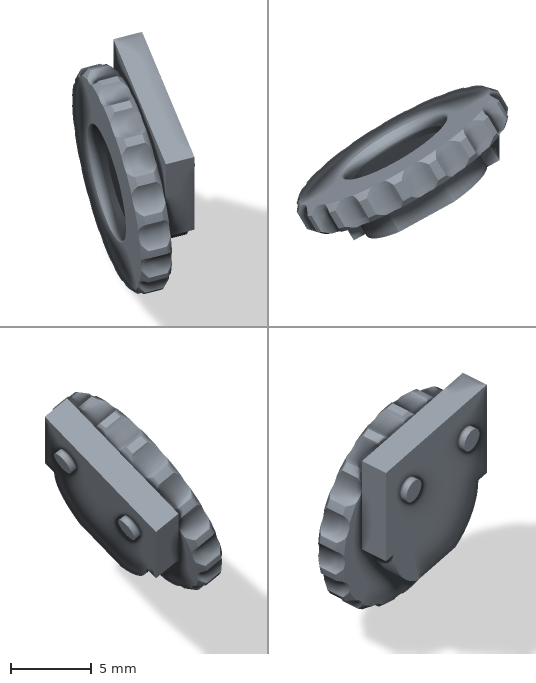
import cadquery as cq
import math

wheel_radius = 7.25
wheel_thickness = 2.0
wheel_chamfer = 0.4
groove_count = 18
groove_radius = 1.25
groove_axis_radius = 7.98

recess_mouth_diameter = 7.6
recess_floor_diameter = 6.4
recess_depth = 1.0
recess_cone_depth = (recess_mouth_diameter - recess_floor_diameter) / 2

neck_diameter = 7.6
neck_length = 0.15

plate_width = 10.35
plate_thickness = 1.85
plate_top = wheel_radius
plate_bottom = -3.84
lobe_radius = 4.3

pin_diameter = 1.55
pin_length = 0.5
pin_spacing = 5.96
pin_height = 4.5

neck_start = wheel_thickness
plate_start = neck_start + neck_length
pin_start = plate_start + plate_thickness


def workplane_at(y):
    """XZ plane at depth y facing -Y, so negative extrusions grow toward +Y."""
    return cq.Workplane(cq.Plane(origin=(0, y, 0), xDir=(1, 0, 0), normal=(0, -1, 0)))


def cylinder_along_y(diameter, length, start, centers=((0, 0),)):
    """Equal cylinders from depth start toward +Y, one at each (x, z) centre."""
    return workplane_at(start).pushPoints(centers).circle(diameter / 2).extrude(-length)


def make_wheel():
    """Chamfered disc with round finger grooves evenly spaced around its rim."""
    wheel = cylinder_along_y(2 * wheel_radius, wheel_thickness, 0)
    wheel = wheel.edges("%CIRCLE").chamfer(wheel_chamfer)
    groove_centers = []
    for index in range(groove_count):
        angle = 2 * math.pi * index / groove_count
        x = groove_axis_radius * math.cos(angle)
        z = groove_axis_radius * math.sin(angle)
        groove_centers.append((x, z))
    return wheel.cut(cylinder_along_y(2 * groove_radius, wheel_thickness, 0, groove_centers))


def make_recess():
    """Cone narrowing from the front face, then a short straight bore with a flat floor."""
    mouth_radius = recess_mouth_diameter / 2
    floor_radius = recess_floor_diameter / 2
    return (
        cq.Workplane("XY")
        .polyline([
            (0, 0),
            (mouth_radius, 0),
            (floor_radius, recess_cone_depth),
            (floor_radius, recess_depth),
            (0, recess_depth),
        ])
        .close()
        .revolve(360, (0, 0), (0, 1))
    )


def make_plate():
    """Rectangular block above the wheel axis and a narrower disc segment with a flat foot below it."""
    half_width = plate_width / 2
    foot_half_width = math.sqrt(lobe_radius**2 - plate_bottom**2)
    mid_angle = math.asin(-plate_bottom / lobe_radius) / 2
    mid_x = lobe_radius * math.cos(mid_angle)
    mid_z = -lobe_radius * math.sin(mid_angle)
    return (
        workplane_at(plate_start)
        .moveTo(-half_width, plate_top)
        .lineTo(half_width, plate_top)
        .lineTo(half_width, 0)
        .lineTo(lobe_radius, 0)
        .threePointArc((mid_x, mid_z), (foot_half_width, plate_bottom))
        .lineTo(-foot_half_width, plate_bottom)
        .threePointArc((-mid_x, mid_z), (-lobe_radius, 0))
        .lineTo(-half_width, 0)
        .close()
        .extrude(-plate_thickness)
    )


pin_centers = [(side * pin_spacing / 2, pin_height) for side in (-1, 1)]

wheel = make_wheel().cut(make_recess())
neck = cylinder_along_y(neck_diameter, neck_length, neck_start)
pins = cylinder_along_y(pin_diameter, pin_length, pin_start, pin_centers)
result = wheel.union(neck).union(make_plate()).union(pins)